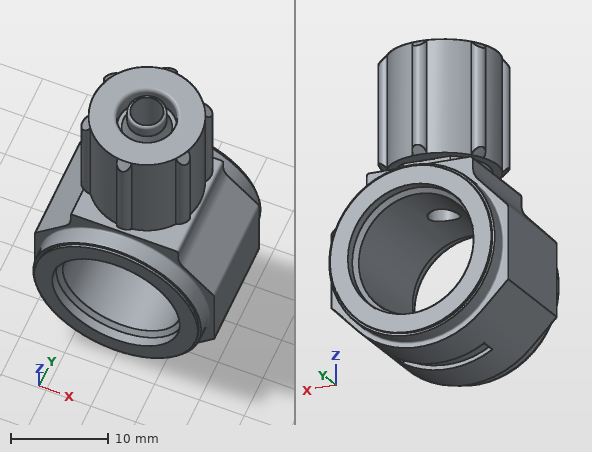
import cadquery as cq
import math


block_radius = 10.0
block_width = 12.0
pad_half_width = block_width / 2
pad_corner_radius = 2.0
pad_edge_radius = 0.3
shoulder_height = 4.0
shoulder_radius = 0.6

ring_length = 16.5
collar_diameter = 18.8
collar_root_radius = 0.17
collar_taper_length = 0.2
collar_taper_depth = 0.05
lip_diameter = 18.2
lip_length = 0.3

bore_diameter = 13.2
counterbore_diameter = 14.2
counterbore_depth = 1.1

groove_width = 2.0
groove_length = 10.0
groove_depth = 0.5

neck_diameter = 10.07
neck_flat_offset = 4.28
neck_flare_height = 0.38
neck_flare_width = 0.2
spigot_diameter = 8.5
spigot_top = 21.5
tube_diameter = 4.1
tube_bore_diameter = 3.4
tube_top = 24.5
tube_edge_radius = 0.3
cone_diameter = 5.2
cone_top = 22.95

nut_diameter = 12.0
nut_bottom = 11.18
nut_top = 23.65
nut_height = nut_top - nut_bottom
nut_hole_diameter = 6.2
nut_hole_edge_radius = 0.4
rib_count = 6
rib_radius = 0.8
rib_reach = nut_diameter / 2 + rib_radius


def revolved(points):
    """Solid of revolution about Z from (radius, height) points."""
    return cq.Workplane("XZ").polyline(points).close().revolve(360, (0, 0), (0, 1))


def rod_y(diameter, length):
    """Cylinder along Y, centred on the origin."""
    return cq.Workplane("XZ").circle(diameter / 2).extrude(length / 2, both=True)


def make_block():
    """Block with 45 degree slopes and a round underside, with a square pad on top."""
    lower_corner_height = block_radius * math.tan(math.pi / 8)
    tangent = block_radius / math.sqrt(2)
    pad_corner_height = block_radius + shoulder_height - pad_half_width
    block = (
        cq.Workplane("XZ")
        .moveTo(pad_half_width, block_radius)
        .lineTo(pad_half_width, pad_corner_height)
        .lineTo(block_radius, shoulder_height)
        .lineTo(block_radius, -lower_corner_height)
        .lineTo(tangent, -tangent)
        .threePointArc((0, -block_radius), (-tangent, -tangent))
        .lineTo(-block_radius, -lower_corner_height)
        .lineTo(-block_radius, shoulder_height)
        .lineTo(-pad_half_width, pad_corner_height)
        .lineTo(-pad_half_width, block_radius)
        .close()
        .extrude(block_width / 2, both=True)
    )

    def fillet_edges(solid, x, z, radius):
        for side in (-1, 1):
            edge_selector = cq.selectors.NearestToPointSelector((side * x, 0, z))
            solid = solid.edges("|Y").edges(edge_selector).fillet(radius)
        return solid

    block = fillet_edges(block, pad_half_width, pad_corner_height, pad_corner_radius)
    block = fillet_edges(block, pad_half_width, block_radius, pad_edge_radius)
    return fillet_edges(block, block_radius, shoulder_height, shoulder_radius)


def make_collars():
    """Stepped round collars, flared where they meet the block."""
    collar_end = ring_length / 2 - lip_length
    lip_radius = lip_diameter / 2
    collar_radius = collar_diameter / 2
    root = block_width / 2
    half = (
        cq.Workplane("XY")
        .lineTo(collar_radius + collar_root_radius, 0)
        .lineTo(collar_radius + collar_root_radius, root)
        .radiusArc((collar_radius, root + collar_root_radius), collar_root_radius)
        .lineTo(collar_radius, collar_end - collar_taper_length)
        .lineTo(collar_radius - collar_taper_depth, collar_end)
        .lineTo(lip_radius, collar_end)
        .lineTo(lip_radius, ring_length / 2)
        .lineTo(0, ring_length / 2)
        .close()
        .revolve(360, (0, 0), (0, 1))
    )
    return half.union(half.mirror("XZ"))


def make_bore():
    """Through bore with a cone-bottomed counterbore at each end."""
    end = ring_length / 2
    bore_radius = bore_diameter / 2
    wide_radius = counterbore_diameter / 2
    shelf = end - counterbore_depth
    cone_end = shelf - (wide_radius - bore_radius)
    profile = [
        (0, -end), (wide_radius, -end), (wide_radius, -shelf), (bore_radius, -cone_end),
        (bore_radius, cone_end), (wide_radius, shelf), (wide_radius, end), (0, end),
    ]
    return cq.Workplane("XY").polyline(profile).close().revolve(360, (0, 0), (0, 1))


def make_groove():
    """Shallow groove following the round underside."""
    cutter = cq.Workplane("XY").box(
        groove_length, groove_width, block_radius, centered=(True, True, False)
    ).translate((0, 0, -block_radius))
    return cutter.cut(rod_y(2 * (block_radius - groove_depth), groove_width))


def make_neck():
    """Round neck with a flat on each Y side, flared at the foot of the flats."""
    foot = neck_flat_offset + neck_flare_width
    outline = [
        (-foot, 0), (foot, 0), (foot, block_radius),
        (neck_flat_offset, block_radius + neck_flare_height),
        (neck_flat_offset, nut_bottom), (-neck_flat_offset, nut_bottom),
        (-neck_flat_offset, block_radius + neck_flare_height), (-foot, block_radius),
    ]
    flats = cq.Workplane("YZ").polyline(outline).close().extrude(neck_diameter, both=True)
    neck = cq.Workplane("XY").circle(neck_diameter / 2).extrude(nut_bottom)
    return neck.intersect(flats)


def make_spigot():
    """Spigot inside the nut, carrying the hose tube, which widens to a cone at its foot."""
    spigot_radius = spigot_diameter / 2
    tube = revolved([
        (0, 0), (spigot_radius, 0), (spigot_radius, spigot_top),
        (cone_diameter / 2, spigot_top), (tube_diameter / 2, cone_top),
        (tube_diameter / 2, tube_top), (0, tube_top),
    ])
    return tube.faces(">Z").edges().fillet(tube_edge_radius)


def make_housing():
    housing = make_block().union(make_collars()).union(make_neck()).union(make_spigot())
    tube_bore = cq.Workplane("XY").circle(tube_bore_diameter / 2).extrude(tube_top)
    return housing.cut(make_bore()).cut(tube_bore).cut(make_groove())


def make_nut():
    """Ribbed nut whose recess fits over the spigot."""
    nut = cq.Workplane("XY").workplane(offset=nut_bottom).circle(nut_diameter / 2).extrude(nut_height)
    ribs = (
        cq.Workplane("XY").workplane(offset=nut_bottom)
        .polarArray(nut_diameter / 2, 90, 360, rib_count)
        .circle(rib_radius).extrude(nut_height)
    )
    rib_limit = (
        cq.Workplane("XY").workplane(offset=nut_bottom)
        .circle(rib_reach).extrude(nut_height)
        .edges().chamfer(rib_radius)
    )
    nut = nut.union(ribs.intersect(rib_limit))
    hole_radius = nut_hole_diameter / 2
    spigot_radius = spigot_diameter / 2
    cavity = revolved([
        (0, nut_bottom), (spigot_radius, nut_bottom), (spigot_radius, spigot_top),
        (hole_radius, spigot_top), (hole_radius, nut_top), (0, nut_top),
    ])
    hole_rim = cq.selectors.RadiusNthSelector(0)
    return nut.cut(cavity).faces(">Z").edges("%CIRCLE").edges(hole_rim).fillet(nut_hole_edge_radius)


housing = make_housing()
nut = make_nut()
result = cq.Compound.makeCompound([housing.val(), nut.val()])